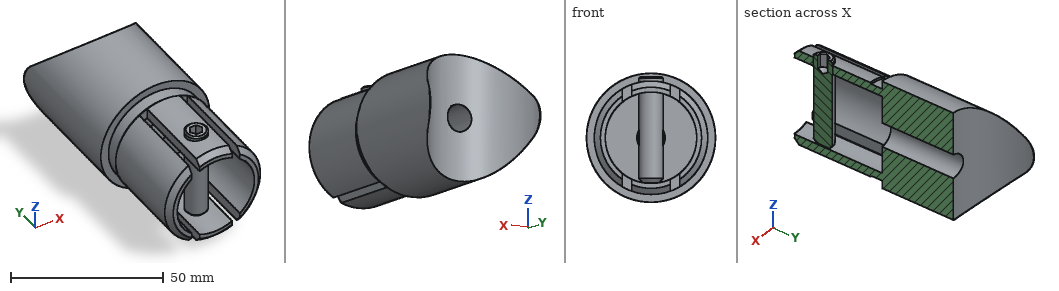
import cadquery as cq
import math

length = 84.1

body_diameter = 42.4
tip_radius = 10.0
cable_hole_diameter = 9.2

saddle_axis_y = length + tip_radius * (math.sqrt(2) - 1)

spigot_diameter = 37.2
spigot_length = 32.0
spigot_chamfer = 2.0
bore_diameter = 30.0
slot_width = 3.0
slot_spacing = 15.7

groove_diameter = 36.4
shoulder_y = 37.0
groove_taper = 0.5

screw_diameter = 8.0
screw_y = 12.0
screw_top = 20.0
screw_top_diameter = 6.8
screw_top_chamfer = 0.5
screw_tip_diameter = 5.5
screw_tip_length = 1.4

screw_bottom = -math.sqrt((bore_diameter / 2) ** 2 - (screw_tip_diameter / 2) ** 2)

socket_width = 4.0
socket_depth = 5.05
socket_cone_height = 1.2


def rod(diameter, y_start, y_end):
    """Cylinder on the Y axis."""
    start = cq.Vector(0, y_start, 0)
    return cq.Workplane(cq.Solid.makeCylinder(diameter / 2, y_end - y_start, start, cq.Vector(0, 1, 0)))


def make_blank():
    """Turned outline: chamfered spigot, tapered groove and body."""
    spigot_radius = spigot_diameter / 2
    groove_radius = groove_diameter / 2
    body_radius = body_diameter / 2
    outline = [
        (0, 0),
        (spigot_radius - spigot_chamfer, 0),
        (spigot_radius, spigot_chamfer),
        (spigot_radius, spigot_length),
        (groove_radius, spigot_length + groove_taper),
        (groove_radius, shoulder_y),
        (body_radius, shoulder_y),
        (body_radius, saddle_axis_y),
        (0, saddle_axis_y),
    ]
    return cq.Workplane("XY").polyline(outline).close().revolve(360, (0, 0, 0), (0, 1, 0))


def make_saddle_cutter():
    """Vertical cylinder across the end of the body."""
    return (
        cq.Workplane("XY")
        .center(0, saddle_axis_y)
        .circle(body_diameter / 2)
        .extrude(body_diameter, both=True)
    )


def make_tip_cutter():
    """Space beyond the arc that rounds both tips, swept along X."""
    tangent_z = tip_radius / math.sqrt(2)
    tangent_y = saddle_axis_y - tangent_z
    return (
        cq.Workplane("YZ")
        .moveTo(tangent_y, -tangent_z)
        .threePointArc((length, 0), (tangent_y, tangent_z))
        .lineTo(saddle_axis_y, tangent_z)
        .lineTo(saddle_axis_y, -tangent_z)
        .close()
        .extrude(body_diameter, both=True)
    )


def make_slot_cutters():
    """Two slots along the spigot, cut through its top and bottom walls."""
    return (
        cq.Workplane("XY")
        .pushPoints([(-slot_spacing / 2, spigot_length / 2), (slot_spacing / 2, spigot_length / 2)])
        .rect(slot_width, spigot_length)
        .extrude(spigot_diameter / 2, both=True)
    )


def make_screw_hole():
    """Hole through the top wall only."""
    return (
        cq.Workplane("XY")
        .center(0, screw_y)
        .circle(screw_diameter / 2)
        .extrude(spigot_diameter / 2)
    )


def make_housing():
    return (
        make_blank()
        .cut(make_saddle_cutter())
        .cut(make_tip_cutter())
        .cut(rod(bore_diameter, 0, shoulder_y))
        .cut(rod(cable_hole_diameter, shoulder_y, length))
        .cut(make_slot_cutters())
        .cut(make_screw_hole())
    )


def make_socket():
    """Hexagon socket, corners toward X, with a conical floor."""
    corner_diameter = socket_width / math.cos(math.pi / 6)
    floor_z = screw_top - socket_depth
    hexagon = (
        cq.Workplane("XY", origin=(0, screw_y, floor_z))
        .polygon(6, corner_diameter)
        .extrude(socket_depth)
    )
    cone = cq.Solid.makeCone(
        socket_width / 2, 0, socket_cone_height, cq.Vector(0, screw_y, floor_z), cq.Vector(0, 0, -1)
    )
    return hexagon.union(cq.Workplane(cone))


def make_screw():
    """Set screw turned about a vertical axis."""
    outline = [
        (0, screw_bottom),
        (screw_tip_diameter / 2, screw_bottom),
        (screw_diameter / 2, screw_bottom + screw_tip_length),
        (screw_diameter / 2, screw_top - screw_top_chamfer),
        (screw_top_diameter / 2, screw_top),
        (0, screw_top),
    ]
    blank = (
        cq.Workplane("XZ", origin=(0, screw_y, 0))
        .polyline(outline)
        .close()
        .revolve(360, (0, 0, 0), (0, 1, 0))
    )
    return blank.cut(make_socket())


housing = make_housing()
screw = make_screw()

result = cq.Compound.makeCompound([housing.solids().val(), screw.solids().val()])